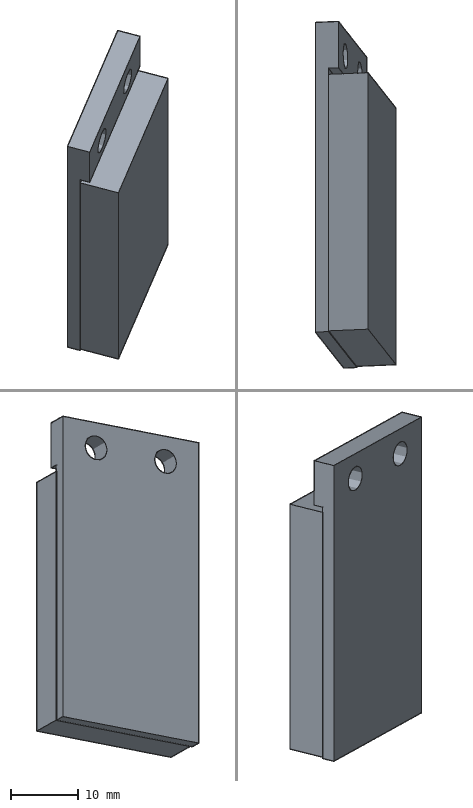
import cadquery as cq

depth = 8.0
width = 23.5
height = 47.5

plate_thickness = 2.0
head_thickness = 3.5
head_height = 7.12

block_inset = 0.15
block_top_drop = 8.05

hole_diameter = 3.7
hole_spacing = 12.0
hole_top_drop = 4.0


def box(x_min, x_max, y_width, z_min, z_max):
    """Box centred on Y, between the given X and Z limits."""
    return (
        cq.Workplane("XY", origin=(x_min, 0, z_min))
        .rect(x_max - x_min, y_width)
        .extrude(z_max - z_min)
        .translate(((x_max - x_min) / 2, 0, 0))
    )


plate = box(0, plate_thickness, width, 0, height)
head = box(0, head_thickness, width, height - head_height, height)
block = box(
    plate_thickness, depth, width - 2 * block_inset, block_inset, height - block_top_drop
)

holes = (
    cq.Workplane("YZ", origin=(0, 0, height - hole_top_drop))
    .pushPoints([(-hole_spacing / 2, 0), (hole_spacing / 2, 0)])
    .circle(hole_diameter / 2)
    .extrude(head_thickness)
)

result = plate.union(head).union(block).cut(holes)